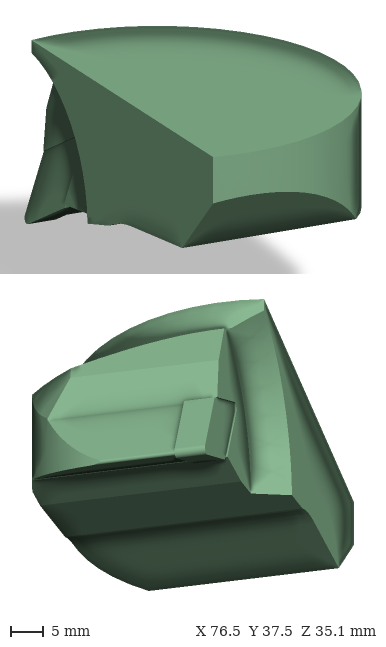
import cadquery as cq
import math

overall_length = 76.5
shank_radius = 31.45
front_y = -6.05
head_front_y = -0.3
rim_height = 4.9
tip_x = shank_radius - overall_length

insert_x = -34.95
insert_z = -24.95
insert_front_y = 0.0
insert_thickness = 4.8
insert_angle = 35.0
nose_radius = 0.8
seat_clearance = 0.45

nose_center_offset = nose_radius / math.sin(math.radians(insert_angle / 2))
half_long = math.sqrt(2) * (insert_x - nose_radius - tip_x) + nose_center_offset
half_short = half_long * math.tan(math.radians(insert_angle / 2))

seat_half_short = half_short - seat_clearance / math.cos(math.radians(insert_angle / 2))
seat_corner_offset = seat_half_short * math.sqrt(0.5)

head_top_z = -4.4

upper_slope = 30.0
upper_cone_radius = 42.8
flank_angle = 20.0
upper_cone_z = -rim_height - (upper_cone_radius - shank_radius) * math.tan(math.radians(upper_slope))
envelope_bottom_z = -38.25
envelope_bottom_radius = (
    upper_cone_radius + (upper_cone_z - envelope_bottom_z) * math.tan(math.radians(flank_angle))
)

clearance_x = -34.65
clearance_z = -24.6
clearance_radius = 19.6
clearance_angle = 30.0

corner_start = (-44.7, 16.45)
corner_middle = (-38.1, 26.5)
corner_end_x = -26.8


def xz_prism(outline, near_y, far_y):
    """Extrude an XZ outline from near_y to far_y."""
    return outline.extrude(near_y - far_y).translate((0, near_y, 0))


def diamond(margin, near_y, far_y):
    """Insert-shaped prism with rounded acute corners, offset inward by margin (below nose_radius)."""
    long_half = half_long - margin / math.sin(math.radians(insert_angle / 2))
    short_half = half_short - margin / math.cos(math.radians(insert_angle / 2))
    outline = cq.Workplane("XZ").polyline(
        [(-long_half, 0), (0, short_half), (long_half, 0), (0, -short_half)]
    ).close()
    blank = xz_prism(outline, near_y, far_y)
    blank = blank.edges("|Y").edges("<X or >X").fillet(nose_radius - margin)
    return blank.rotate((0, 0, 0), (0, 1, 0), -45).translate((insert_x, 0, insert_z))


def side_profile():
    """Shank and head in XZ, without the seat; the turned envelope trims its upper left end."""
    outline = (
        cq.Workplane("XZ")
        .moveTo(-shank_radius, 0)
        .lineTo(shank_radius, 0)
        .lineTo(shank_radius, -6.95)
        .lineTo(20.35, -18.05)
        .lineTo(3.45, -19.8)
        .threePointArc((-0.7, -20.6), (-4.6, -22.1))
        .lineTo(-21.65, -26.6)
        .lineTo(-30.9, -27.7)
        .lineTo(insert_x, insert_z)
        .lineTo(insert_x - seat_corner_offset, insert_z + seat_corner_offset)
        .lineTo(-37.0, -13.85)
        .lineTo(-32.5, head_top_z)
        .lineTo(-shank_radius, head_top_z)
        .close()
    )
    return xz_prism(outline, front_y, shank_radius)


def coaxial_envelope():
    """Turned limit of the part: rim, sloping upper cone and steep flank cone."""
    return (
        cq.Workplane("XZ")
        .polyline([
            (0, 0),
            (shank_radius, 0),
            (shank_radius, -rim_height),
            (upper_cone_radius, upper_cone_z),
            (envelope_bottom_radius, envelope_bottom_z),
            (0, envelope_bottom_z),
        ])
        .close()
        .revolve(360, (0, 0), (0, 1))
    )


def plan_prism():
    """Plan limit: round on the right, flat in front, rounded corner at the rear left."""
    right_front_x = math.sqrt(shank_radius**2 - front_y**2)
    diagonal = shank_radius * math.sqrt(0.5)
    return (
        cq.Workplane("XY")
        .moveTo(corner_start[0], front_y)
        .lineTo(*corner_start)
        .threePointArc(corner_middle, (corner_end_x, shank_radius))
        .lineTo(0, shank_radius)
        .threePointArc((diagonal, diagonal), (right_front_x, front_y))
        .close()
        .extrude(envelope_bottom_z)
    )


def insert_clearance():
    """Frustum removed from the front face around the insert."""
    depth = head_front_y - front_y
    front_radius = clearance_radius + depth * math.tan(math.radians(clearance_angle))
    return cq.Workplane("XY").add(
        cq.Solid.makeCone(
            front_radius, clearance_radius, depth,
            cq.Vector(clearance_x, front_y, clearance_z), cq.Vector(0, 1, 0),
        )
    )


seat = diamond(seat_clearance, head_front_y, shank_radius)
blank = side_profile().union(seat)
body = coaxial_envelope().intersect(plan_prism()).intersect(blank)
body = body.cut(insert_clearance())

insert_back_y = insert_front_y + insert_thickness
body = body.cut(diamond(0, head_front_y, insert_front_y))
result = body.union(diamond(0, insert_front_y, insert_back_y))